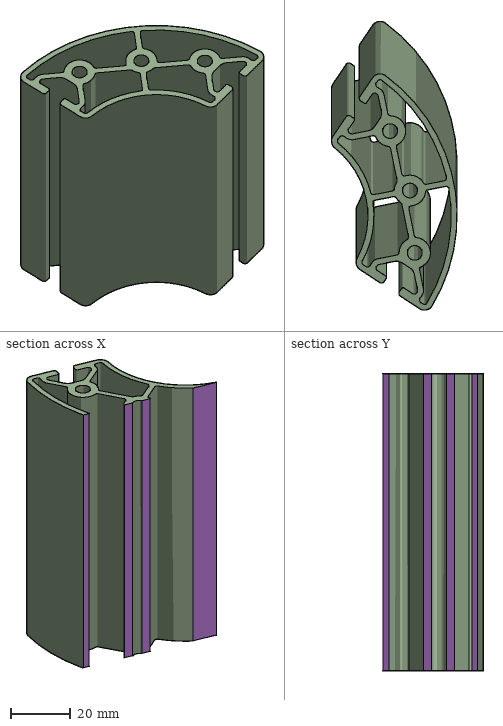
import cadquery as cq
import math

length = 100
outer_radius = 60
inner_radius = 30
wall = 2
middle_radius = (outer_radius + inner_radius) / 2

end_wall = 2
end_corner_radius = 3

hub_diameter = 10.5
hole_diameter = 5
hub_depth = 15
web = 2
cavity_fillet = 1

slot_opening = 6.2
lip = 3
slot_width = 16.2
slot_depth = 9.8
slot_fillet = 1
roof_fillet = 3.6
mouth_fillet = 1
lip_fillet = 0.5

leg_side = 2
block_half_width = slot_width / 2 + leg_side
leg_inner_apex = 12.8
shoulder_fillet = 3
leg_outer_apex = leg_inner_apex + web * math.sqrt(2)


def extrude_outline(points):
    return cq.Workplane("XY").polyline(points).close().extrude(length)


def cylinder(radius, center=(0, 0)):
    return cq.Workplane("XY").center(*center).circle(radius).extrude(length)


def swap_ends(body):
    """Mirror a body across the diagonal plane, which exchanges the -X and +Y ends."""
    return body.mirror("YZ").rotate((0, 0, 0), (0, 0, 1), 90)


def ring_sector(large_radius, small_radius, end_inset):
    """Quarter ring whose flat ends are moved inward from the X and Y axes by end_inset."""
    quadrant = (
        cq.Workplane("XY")
        .rect(large_radius, large_radius, centered=False)
        .extrude(length)
        .translate((-large_radius - end_inset, end_inset, 0))
    )
    return cylinder(large_radius).cut(cylinder(small_radius)).intersect(quadrant)


def web_between(start, end):
    span = math.dist(start, end)
    angle = math.degrees(math.atan2(end[1] - start[1], end[0] - start[0]))
    middle = ((start[0] + end[0]) / 2, (start[1] + end[1]) / 2, 0)
    bar = cq.Workplane("XY").rect(span, web).extrude(length)
    return bar.rotate((0, 0, 0), (0, 0, 1), angle).translate(middle)


def slot_block():
    """Solid material that surrounds the T-slot on the -X end."""
    shoulder = leg_outer_apex - block_half_width
    outline = [
        (-block_half_width, 0),
        (block_half_width, 0),
        (block_half_width, shoulder),
        (0, leg_outer_apex),
        (-block_half_width, shoulder),
    ]
    block = extrude_outline(outline)
    for side in (-1, 1):
        corner = (side * block_half_width, shoulder, length / 2)
        block = block.edges(cq.selectors.NearestToPointSelector(corner)).fillet(shoulder_fillet)
    return block.translate((-middle_radius, 0, 0))


def slot():
    """T-slot cut from the -X end face."""
    half_width = slot_width / 2
    flat = leg_inner_apex - slot_depth
    shoulder = leg_inner_apex - half_width
    outline = [
        (-half_width, lip),
        (half_width, lip),
        (half_width, shoulder),
        (flat, slot_depth),
        (-flat, slot_depth),
        (-half_width, shoulder),
    ]
    chamber = extrude_outline(outline)
    chamber = chamber.edges("|Z and (<X or >X)").fillet(slot_fillet)
    chamber = chamber.faces(">Y").edges("|Z").fillet(roof_fillet)
    opening = cq.Workplane("XY").rect(slot_opening, 2 * lip + slot_fillet).extrude(length)
    return chamber.union(opening).translate((-middle_radius, 0, 0))


def round_mouth(body):
    """Round the outer and inner lip edges of the slot in the -X end face."""
    for side in (-1, 1):
        lip_x = side * slot_opening / 2 - middle_radius
        for lip_y, radius in ((0, mouth_fillet), (lip, lip_fillet)):
            lip_edge = cq.selectors.NearestToPointSelector((lip_x, lip_y, length / 2))
            body = body.edges("|Z").edges(lip_edge).fillet(radius)
    return body


diagonal = middle_radius / math.sqrt(2)
hub_left = (-middle_radius, hub_depth)
hub_right = (-hub_depth, middle_radius)
hub_middle = (-diagonal, diagonal)
hubs = [hub_left, hub_middle, hub_right]

outer_end = (-outer_radius / math.sqrt(2), outer_radius / math.sqrt(2))
inner_end = (-inner_radius / math.sqrt(2), inner_radius / math.sqrt(2))
block = slot_block()
divider = web_between(hub_left, hub_right).union(web_between(inner_end, outer_end))
divider = divider.union(block).union(swap_ends(block))
for hub in hubs:
    divider = divider.union(cylinder(hub_diameter / 2, hub))

cavities = ring_sector(outer_radius - wall, inner_radius + wall, end_wall).cut(divider)
cavities = cavities.edges("|Z").fillet(cavity_fillet)

result = ring_sector(outer_radius, inner_radius, 0).edges("|Z").fillet(end_corner_radius)
result = result.cut(cavities)
end_slot = slot()
result = swap_ends(round_mouth(result.cut(end_slot)))
result = round_mouth(result.cut(end_slot))
for hub in hubs:
    result = result.cut(cylinder(hole_diameter / 2, hub))